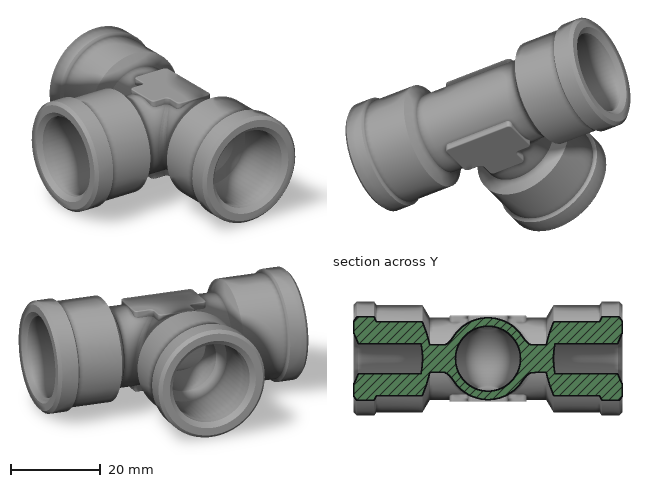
import cadquery as cq

end_reach = 30.0

neck_radius = 9.2
sleeve_radius = 12.0
overall_height = 25.5
bead_radius = overall_height / 2
bead_front_chamfer = 0.7
bead_back = 4.6
bead_end = 5.1
sleeve_end = 15.35
shoulder_end = 17.05

bore_radius = 7.2
socket_radius = 9.25
mouth_radius = 10.3
mouth_depth = 1.0
socket_depth = 15.0
socket_cone_length = 1.2

neck_reach = end_reach - sleeve_end
neck_fillet = 1.1
crotch_trim = 0.2
crotch_half_height = neck_radius - crotch_trim

plate_half_width = 8.65
plate_half_depth = 4.5
stem_half_width = 4.45
stem_reach = 8.6
plate_top = 9.6
plate_corner_radius = 0.9
plate_edge_round = 0.25

ARM_DIRECTIONS = [(1, 0, 0), (-1, 0, 0), (0, -1, 0)]


def along_arm(solid, direction):
    """Move a solid built along +Z so that it lies along one arm."""
    plane = cq.Plane(origin=(0, 0, 0), xDir=(0, 0, 1), normal=direction)
    return cq.Workplane("XY").newObject([solid.val().moved(cq.Location(plane))])


def revolve_about_z(points):
    """Revolve a (radius, height) outline about the Z axis."""
    return cq.Workplane("XZ").polyline(points).close().revolve(360, (0, 0), (0, 1))


def make_sleeve():
    """Solid sleeve with its end bead and conical shoulder, along +Z."""
    return revolve_about_z([
        (0, end_reach),
        (bead_radius - bead_front_chamfer, end_reach),
        (bead_radius, end_reach - bead_front_chamfer),
        (bead_radius, end_reach - bead_back),
        (sleeve_radius, end_reach - bead_end),
        (sleeve_radius, end_reach - sleeve_end),
        (neck_radius, end_reach - shoulder_end),
        (0, end_reach - shoulder_end),
    ])


def make_passage():
    """Bore, socket and flared mouth of one arm, along +Z."""
    return revolve_about_z([
        (0, 0),
        (bore_radius, 0),
        (bore_radius, end_reach - socket_depth - socket_cone_length),
        (socket_radius, end_reach - socket_depth),
        (socket_radius, end_reach - mouth_depth),
        (mouth_radius, end_reach),
        (0, end_reach),
    ])


def make_plate():
    """Top plate, running down into the necks below it."""
    outline = [
        (-plate_half_width, plate_half_depth),
        (plate_half_width, plate_half_depth),
        (plate_half_width, -plate_half_depth),
        (stem_half_width, -plate_half_depth),
        (stem_half_width, -stem_reach),
        (-stem_half_width, -stem_reach),
        (-stem_half_width, -plate_half_depth),
        (-plate_half_width, -plate_half_depth),
    ]
    plate = cq.Workplane("XY").polyline(outline).close().extrude(plate_top)
    return plate.edges("|Z").fillet(plate_corner_radius).faces(">Z").edges().fillet(plate_edge_round)


def make_necks():
    """Crossing necks, with the two crotch edges rounded.

    The crotch edges fade out tangentially at the top and bottom of the necks,
    so the rounding is made on a copy trimmed just short of those points.
    """
    run = cq.Workplane("YZ").circle(neck_radius).extrude(neck_reach, both=True)
    branch = cq.Workplane("XZ").circle(neck_radius).extrude(neck_reach)
    necks = run.union(branch)
    slab = cq.Workplane("XY").box(2 * end_reach, 2 * end_reach, 2 * crotch_half_height)
    rounded = necks.intersect(slab).edges("%ELLIPSE").fillet(neck_fillet)
    return necks.union(rounded)


body = make_necks()
for direction in ARM_DIRECTIONS:
    body = body.union(along_arm(make_sleeve(), direction))
top_plate = make_plate()
body = body.union(top_plate).union(top_plate.mirror("XY"))
for direction in ARM_DIRECTIONS:
    body = body.cut(along_arm(make_passage(), direction))
result = body